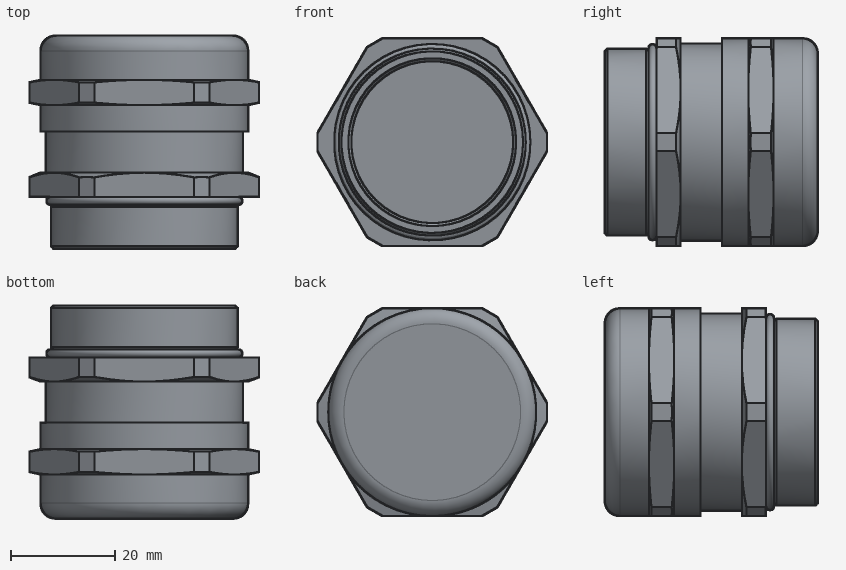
import cadquery as cq
import math


across_flats = 40.0
width_over_corners = 44.2
cone_start_radius = across_flats / 2

collar_front = 10.0
collar_back = 14.63
cap_front = 22.55
cap_hex_front = 27.6
cap_hex_back = 32.5
total_length = 41.0
collar_corner_drop = 0.9
cap_corner_drop = 0.5

spigot_radius = 18.0
spigot_length = 8.0
spigot_chamfer = 0.55
relief_radius = 17.5
body_radius = 19.0
bore_radius = 15.55
bore_depth = 6.0
bore_chamfer = 0.57

ring_section_diameter = 1.55
ring_section_radius = ring_section_diameter / 2
ring_outer_radius = 18.85

cap_radius = across_flats / 2
cap_round = 3.0


def cylinder(radius, start, end):
    """Solid cylinder about the Y axis between two stations."""
    return cq.Workplane("XZ", origin=(0, start, 0)).circle(radius).extrude(start - end)


def revolve_about_axis(profile):
    """Revolve a profile drawn in the XY plane (X is radius) about the Y axis."""
    return profile.close().revolve(360, (0, 0, 0), (0, 1, 0))


def hexagon(start, end, front_drop, back_drop):
    """Hexagon with flat-cut corners and optional conical chamfers at its two ends."""
    circumscribed_diameter = across_flats / math.cos(math.pi / 6)
    corner_cut_diameter = width_over_corners / math.cos(math.pi / 6)
    end_plane = cq.Workplane("XZ", origin=(0, start, 0))
    prism = end_plane.polygon(6, circumscribed_diameter).extrude(start - end)
    corner_cut = end_plane.polygon(6, corner_cut_diameter).extrude(start - end)
    corner_cut = corner_cut.rotate((0, 0, 0), (0, 1, 0), 30)

    half_corner_flat = (circumscribed_diameter - width_over_corners) / 2 * math.tan(math.pi / 3)
    corner_radius = math.hypot(width_over_corners / 2, half_corner_flat)
    envelope = revolve_about_axis(
        cq.Workplane("XY")
        .moveTo(0, start)
        .lineTo(cone_start_radius, start)
        .lineTo(corner_radius, start + front_drop)
        .lineTo(corner_radius, end - back_drop)
        .lineTo(cone_start_radius, end)
        .lineTo(0, end)
    )
    return prism.intersect(corner_cut).intersect(envelope)


def spigot():
    """Threaded end: chamfered cylinder, relief next to the collar and a blind bore."""
    relief_step = spigot_radius - relief_radius
    outside = revolve_about_axis(
        cq.Workplane("XY")
        .lineTo(spigot_radius - spigot_chamfer, 0)
        .lineTo(spigot_radius, spigot_chamfer)
        .lineTo(spigot_radius, spigot_length)
        .lineTo(relief_radius, spigot_length + relief_step)
        .lineTo(relief_radius, collar_front)
        .lineTo(0, collar_front)
    )
    bore = revolve_about_axis(
        cq.Workplane("XY")
        .lineTo(bore_radius + bore_chamfer, 0)
        .lineTo(bore_radius, bore_chamfer)
        .lineTo(bore_radius, bore_depth)
        .lineTo(0, bore_depth)
    )
    return outside.cut(bore)


def sealing_ring():
    """Round-section ring seated in the relief, touching the collar."""
    centre_radius = ring_outer_radius - ring_section_radius
    centre = (centre_radius, collar_front - ring_section_radius, 0)
    section_plane = cq.Plane(origin=centre, xDir=(-1, 0, 0), normal=(0, 0, 1))
    section = cq.Workplane(section_plane).circle(ring_section_radius)
    return section.revolve(360, (centre_radius, 0, 0), (centre_radius, 1, 0))


def cap():
    """Round-edged cap with its own hexagon."""
    barrel = cylinder(cap_radius, cap_front, total_length).faces(">Y").edges().fillet(cap_round)
    return barrel.union(hexagon(cap_hex_front, cap_hex_back, cap_corner_drop, cap_corner_drop))


collar = hexagon(collar_front, collar_back, 0, collar_corner_drop)
body = cylinder(body_radius, collar_back, cap_front)
result = spigot().union(sealing_ring()).union(collar).union(body).union(cap())